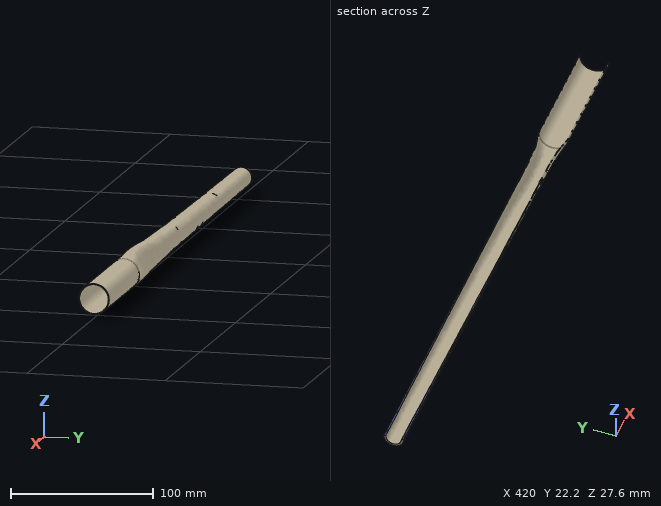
import cadquery as cq

total_length = 420.0
socket_length = 86.0
socket_diameter = 22.2
socket_bore_diameter = 20.8
seam_x = total_length - socket_length
socket_wall = (socket_diameter - socket_bore_diameter) / 2

tip_diameter = 15.0
tip_bore_diameter = 11.6
tip_wall = (tip_diameter - tip_bore_diameter) / 2

shoulder_length = 30.0
bulge_x = seam_x - shoulder_length
bulge_width = 15.8
bulge_height = 27.59

taper_growth = 4.3
swell_growth = bulge_height - tip_diameter - taper_growth
swell_power = 5

shaft_spans = 10
shoulder_spans = 2

x_axis = cq.Vector(1, 0, 0)
z_axis = cq.Vector(0, 0, 1)


def shaft_section(fraction):
    """Position, width and height of the shaft; fraction runs from the tip to the bulge."""
    width = tip_diameter + (bulge_width - tip_diameter) * (1 - (1 - fraction) ** 2)
    height = tip_diameter + taper_growth * fraction + swell_growth * fraction**swell_power
    return bulge_x * fraction, width, height


def shoulder_section(fraction):
    """Position, width and height of the shoulder; fraction runs from the oval to the round seam."""
    width = bulge_width + (socket_diameter - bulge_width) * fraction**2
    height = bulge_height + (socket_diameter - bulge_height) * fraction**2
    return bulge_x + shoulder_length * fraction, width, height


def wall_at(x):
    """Wall thickness, thinning evenly from the tip to the seam."""
    return tip_wall + (socket_wall - tip_wall) * x / seam_x


def oval(x, width, height):
    """Upright ellipse across the tube at position x."""
    return cq.Wire.makeEllipse(height / 2, width / 2, cq.Vector(x, 0, 0), x_axis, z_axis)


def swaged_sections():
    """Sections from the tip over the bulge to the seam."""
    shaft = [shaft_section(step / shaft_spans) for step in range(shaft_spans + 1)]
    shoulder = [shoulder_section(step / shoulder_spans) for step in range(1, shoulder_spans + 1)]
    return shaft + shoulder


def make_swaged_length():
    """Smooth hollow oval tube from the tip to the seam."""
    outer_wires = []
    bore_wires = []
    for x, width, height in swaged_sections():
        wall = wall_at(x)
        outer_wires.append(oval(x, width, height))
        bore_wires.append(oval(x, width - 2 * wall, height - 2 * wall))
    outside = cq.Workplane(cq.Solid.makeLoft(outer_wires))
    bore = cq.Workplane(cq.Solid.makeLoft(bore_wires))
    return outside.cut(bore)


def make_socket():
    """Straight round tube from the seam to the +X end."""
    seam_plane = cq.Workplane("YZ", origin=(seam_x, 0, 0))
    return seam_plane.circle(socket_diameter / 2).circle(socket_bore_diameter / 2).extrude(socket_length)


result = make_swaged_length().union(make_socket())